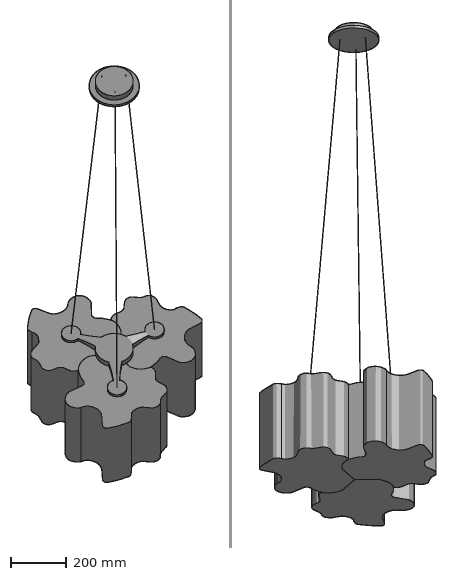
import cadquery as cq
import math


TOTAL_HEIGHT = 1857.0
SPOKES = 3
SPOKE_ANGLE = 360 / SPOKES

SHADE_HEIGHT = 310.0
SHADE_CENTRE_Y = -4.0

HUB_RADIUS = 69.0
HUB_THICKNESS = 22.0
HUB_TOP_Z = SHADE_HEIGHT + HUB_THICKNESS
PAD_RADIUS = 35.0
PAD_DISTANCE = 175.0
PAD_THICKNESS = 11.0
PAD_TOP_Z = SHADE_HEIGHT + PAD_THICKNESS
ARM_ROOT_HALF_ANGLE = 20
ARM_WAIST_HALF_WIDTH = 17.0
ARM_WAIST_DISTANCE = 98.0
ARM_TIP_HALF_WIDTH = 11.0
ARM_OVERLAP = 2.0
ARM_TIP_DISTANCE = PAD_DISTANCE - PAD_RADIUS + ARM_OVERLAP

CABLE_RADIUS = 0.7
CABLE_TOP_DISTANCE = 50.0

CANOPY_RADIUS = 69.0
CANOPY_HEIGHT = 25.0
RIM_RADIUS = 91.0
RIM_THICKNESS = 11.0
DOME_DEPTH = 17.0


def turned(x, y, degrees):
    """The point (x, y) turned about the origin."""
    angle = math.radians(degrees)
    return (
        x * math.cos(angle) - y * math.sin(angle),
        x * math.sin(angle) + y * math.cos(angle),
    )


def shade(degrees):
    """One cog-shaped shade, drawn around +Y and then turned into its place."""
    seam_outer = (-132.0, 76.0)
    seam_middle = (-93.0, 84.0)
    seam_inner = (-55.0, 70.0)
    outline = (
        cq.Workplane("XY")
        .moveTo(0, 0)
        .lineTo(*seam_inner)
        .threePointArc(seam_middle, seam_outer)
        .threePointArc((-143.0, 90.0), (-147.0, 108.0))
        .lineTo(-145.0, 126.0)
        .threePointArc((-150.0, 143.0), (-162.0, 152.0))
        .lineTo(-173.0, 162.0)
        .threePointArc((-184.0, 182.0), (-180.0, 199.0))
        .lineTo(-163.0, 220.0)
        .threePointArc((-158.0, 230.0), (-156.0, 243.0))
        .threePointArc((-150.0, 256.0), (-140.0, 264.0))
        .threePointArc((-126.0, 267.0), (-113.0, 265.0))
        .lineTo(-91.0, 262.0)
        .threePointArc((-72.0, 265.0), (-55.0, 279.0))
        .threePointArc((-48.0, 292.0), (-48.0, 305.0))
        .lineTo(-45.0, 321.0)
        .threePointArc((-40.0, 327.0), (-35.0, 330.0))
        .lineTo(2.0, 344.0)
        .threePointArc((25.0, 350.0), (45.0, 353.0))
        .threePointArc((54.0, 350.0), (60.0, 338.0))
        .lineTo(60.0, 293.0)
        .threePointArc((67.0, 270.0), (85.0, 253.0))
        .threePointArc((108.0, 245.0), (132.0, 250.0))
        .threePointArc((150.0, 250.0), (167.0, 245.0))
        .threePointArc((185.0, 221.0), (182.0, 191.0))
        .threePointArc((175.0, 178.0), (163.0, 170.0))
        .lineTo(125.0, 150.0)
        .threePointArc((115.0, 140.0), (117.0, 125.0))
        .lineTo(125.0, 110.0)
        .lineTo(*turned(*seam_outer, -SPOKE_ANGLE))
        .threePointArc(turned(*seam_middle, -SPOKE_ANGLE), turned(*seam_inner, -SPOKE_ANGLE))
        .close()
    )
    solid = outline.extrude(SHADE_HEIGHT)
    return solid.rotate((0, 0, 0), (0, 0, 1), degrees).translate((0, SHADE_CENTRE_Y, 0))


def arm():
    """A flared arm along +Y, sloping down from the hub to its pad."""
    root = turned(0, HUB_RADIUS, -ARM_ROOT_HALF_ANGLE)
    plan = (
        cq.Workplane("XY", origin=(0, 0, SHADE_HEIGHT))
        .moveTo(0, 0)
        .lineTo(*root)
        .threePointArc((ARM_WAIST_HALF_WIDTH, ARM_WAIST_DISTANCE), (ARM_TIP_HALF_WIDTH, ARM_TIP_DISTANCE))
        .lineTo(0, PAD_DISTANCE)
        .lineTo(-ARM_TIP_HALF_WIDTH, ARM_TIP_DISTANCE)
        .threePointArc((-ARM_WAIST_HALF_WIDTH, ARM_WAIST_DISTANCE), (-root[0], root[1]))
        .close()
        .extrude(HUB_THICKNESS)
    )
    slope = (
        cq.Workplane("YZ")
        .polyline([
            (0, SHADE_HEIGHT),
            (0, HUB_TOP_Z),
            (HUB_RADIUS, HUB_TOP_Z),
            (ARM_TIP_DISTANCE, PAD_TOP_Z),
            (PAD_DISTANCE, PAD_TOP_Z),
            (PAD_DISTANCE, SHADE_HEIGHT),
        ])
        .close()
        .extrude(HUB_RADIUS, both=True)
    )
    return plan.intersect(slope)


def pad():
    """The round pad at the end of an arm along +Y."""
    return (
        cq.Workplane("XY", origin=(0, PAD_DISTANCE, SHADE_HEIGHT))
        .circle(PAD_RADIUS)
        .extrude(PAD_THICKNESS)
    )


def cable():
    """A leaning cable with level ends, from the middle of a pad to the top of the canopy."""
    foot = cq.Vector(0, PAD_DISTANCE, PAD_TOP_Z)
    head = cq.Vector(0, CABLE_TOP_DISTANCE, TOTAL_HEIGHT)
    section = cq.Wire.makeCircle(CABLE_RADIUS, foot, cq.Vector(0, 0, 1))
    return cq.Workplane(cq.Solid.extrudeLinear(section, [], head - foot))


def around_axis(shape, index):
    """The shape turned to one of the three spokes."""
    return shape.rotate((0, 0, 0), (0, 0, 1), index * SPOKE_ANGLE)


def hanger():
    """Hub, arms, pads and cables in one piece, resting on the shades."""
    body = (
        cq.Workplane("XY", origin=(0, 0, SHADE_HEIGHT))
        .circle(HUB_RADIUS)
        .extrude(HUB_THICKNESS)
    )
    spoke = arm().union(pad()).union(cable())
    for index in range(SPOKES):
        body = body.union(around_axis(spoke, index))
    return body


def canopy():
    """Ceiling canopy: a drum on a wide rim with a domed underside, drilled for the cables."""
    rim_top = TOTAL_HEIGHT - CANOPY_HEIGHT
    rim_bottom = rim_top - RIM_THICKNESS
    dome_bottom = rim_bottom - DOME_DEPTH
    dome_radius = (RIM_RADIUS**2 + DOME_DEPTH**2) / (2 * DOME_DEPTH)
    middle_r = RIM_RADIUS / 2
    middle_z = dome_bottom + dome_radius - math.sqrt(dome_radius**2 - middle_r**2)
    body = (
        cq.Workplane("XZ")
        .moveTo(0, dome_bottom)
        .threePointArc((middle_r, middle_z), (RIM_RADIUS, rim_bottom))
        .lineTo(RIM_RADIUS, rim_top)
        .lineTo(CANOPY_RADIUS, rim_top)
        .lineTo(CANOPY_RADIUS, TOTAL_HEIGHT)
        .lineTo(0, TOTAL_HEIGHT)
        .close()
        .revolve(360, (0, 0, 0), (0, 1, 0))
    )
    for index in range(SPOKES):
        body = body.cut(around_axis(cable(), index))
    return body


shades = [shade(index * SPOKE_ANGLE) for index in range(SPOKES)]
lamp_hanger = hanger()
ceiling_canopy = canopy()

result = cq.Compound.makeCompound([
    *[one_shade.val() for one_shade in shades],
    lamp_hanger.val(),
    ceiling_canopy.val(),
])